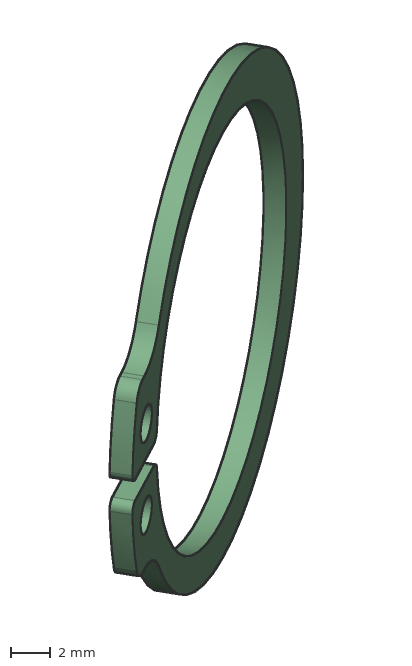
import cadquery as cq
import math

thickness = 1.2
bore_radius = 11.6
back_width = 3.0
rim_radius = 13.93
lug_width = 4.4
lug_half_height = 5.80

gap_half_at_bore = 0.66
gap_half_at_tip = 0.63

hole_diameter = 2.0
hole_y = -13.47
hole_z = 2.75

neck_fillet = 3.0
shoulder_fillet = 1.1
tip_fillet = 0.5
bore_fillet = 0.6

back_y = bore_radius + back_width
rim_center_y = back_y - rim_radius
lug_radius = bore_radius + lug_width


def open_side_point(radius, z, center_y=0.0):
    """Point at height z on the -Y side of a circle centred on the Y axis."""
    return (center_y - math.sqrt(radius**2 - z**2), z)


def mirrored(point):
    """The matching point on the lower half of the ring."""
    y, z = point
    return (y, -z)


def arc_middle(radius, start, end):
    """Middle of the short arc about the bore axis between two upper points."""
    start_angle = math.atan2(start[1], start[0])
    end_angle = math.atan2(end[1], end[0])
    angle = (start_angle + end_angle) / 2
    return (radius * math.cos(angle), radius * math.sin(angle))


def fillet_corner_pair(body, corner, radius):
    """Round the edges along X at an outline corner and at its mirror image."""
    for y, z in (corner, mirrored(corner)):
        nearest = cq.selectors.NearestToPointSelector((0, y, z))
        body = body.edges("|X").edges(nearest).fillet(radius)
    return body


def ring_body():
    """Flat ring with two rounded lugs facing each other across the gap."""
    neck = open_side_point(rim_radius, lug_half_height, rim_center_y)
    shoulder = open_side_point(lug_radius, lug_half_height)
    tip = open_side_point(lug_radius, gap_half_at_tip)
    bore_corner = open_side_point(bore_radius, gap_half_at_bore)
    tip_arc_middle = arc_middle(lug_radius, shoulder, tip)

    body = (
        cq.Workplane("YZ", origin=(-thickness / 2, 0, 0))
        .moveTo(*mirrored(neck))
        .threePointArc((back_y, 0), neck)
        .lineTo(*shoulder)
        .threePointArc(tip_arc_middle, tip)
        .lineTo(*bore_corner)
        .threePointArc((bore_radius, 0), mirrored(bore_corner))
        .lineTo(*mirrored(tip))
        .threePointArc(mirrored(tip_arc_middle), mirrored(shoulder))
        .close()
        .extrude(thickness)
    )
    body = fillet_corner_pair(body, neck, neck_fillet)
    body = fillet_corner_pair(body, shoulder, shoulder_fillet)
    body = fillet_corner_pair(body, tip, tip_fillet)
    return fillet_corner_pair(body, bore_corner, bore_fillet)


def plier_holes():
    """Pins that cut one hole through each lug."""
    return (
        cq.Workplane("YZ", origin=(-thickness / 2, 0, 0))
        .pushPoints([(hole_y, hole_z), (hole_y, -hole_z)])
        .circle(hole_diameter / 2)
        .extrude(thickness)
    )


result = ring_body().cut(plier_holes())